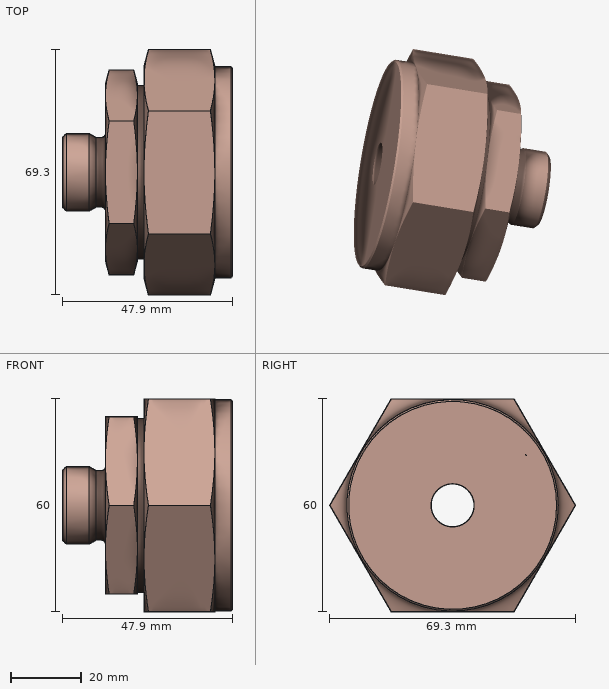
import cadquery as cq
import math

total_length = 47.9
spigot_taper_start = 7.4
spigot_taper_end = 9.4
small_hex_start = 12.05
small_hex_end = 21.05
large_hex_start = 22.9
large_hex_end = 42.9

large_hex_corners = 69.3
small_hex_flats = 50.0
hex_chamfer_angle = 15.0
corner_clearance = 0.7

spigot_radius = 10.95
spigot_chamfer = 1.05
neck_radius = 9.85
neck_fillet = 1.1
spacer_radius = 24.5
collar_radius = 29.8
collar_chamfer = 0.5

bore_radius = 6.0
socket_radius = 7.5
socket_depth = 7.0
mouth_radius = 8.6
mouth_cone_half_angle = 12.0


def revolve_about_axis(profile):
    """Revolve an (axial, radial) outline about the X axis."""
    return profile.close().revolve(360, (0, 0, 0), (1, 0, 0))


def cylinder_along_axis(radius, start, end):
    return cq.Workplane("YZ").workplane(offset=start).circle(radius).extrude(end - start)


def chamfered_hexagon(across_flats, start, end):
    """Hexagon with flats at top and bottom, its corners cut back by a cone at each end."""
    across_corners = across_flats / math.cos(math.radians(30))
    hexagon = (
        cq.Workplane("YZ")
        .workplane(offset=start)
        .polygon(6, across_corners)
        .extrude(end - start)
    )
    face_radius = across_flats / 2
    cone_radius = across_corners / 2 + corner_clearance
    cone_depth = (cone_radius - face_radius) * math.tan(math.radians(hex_chamfer_angle))
    envelope = revolve_about_axis(
        cq.Workplane("XY")
        .moveTo(start, 0)
        .lineTo(start, face_radius)
        .lineTo(start + cone_depth, cone_radius)
        .lineTo(end - cone_depth, cone_radius)
        .lineTo(end, face_radius)
        .lineTo(end, 0)
    )
    return hexagon.intersect(envelope)


def spigot():
    """Chamfered spigot tapering to a neck that flares into the small hexagon."""
    fillet_start = small_hex_start - neck_fillet
    return revolve_about_axis(
        cq.Workplane("XY")
        .moveTo(0, 0)
        .lineTo(0, spigot_radius - spigot_chamfer)
        .lineTo(spigot_chamfer, spigot_radius)
        .lineTo(spigot_taper_start, spigot_radius)
        .lineTo(spigot_taper_end, neck_radius)
        .lineTo(fillet_start, neck_radius)
        .radiusArc((small_hex_start, neck_radius + neck_fillet), -neck_fillet)
        .lineTo(small_hex_start, 0)
    )


def collar():
    round_collar = cylinder_along_axis(collar_radius, large_hex_end, total_length)
    return round_collar.faces(">X").edges().chamfer(collar_chamfer)


def bore():
    cone_depth = (mouth_radius - socket_radius) / math.tan(math.radians(mouth_cone_half_angle))
    return revolve_about_axis(
        cq.Workplane("XY")
        .moveTo(0, 0)
        .lineTo(0, mouth_radius)
        .lineTo(cone_depth, socket_radius)
        .lineTo(socket_depth, socket_radius)
        .lineTo(socket_depth, bore_radius)
        .lineTo(total_length, bore_radius)
        .lineTo(total_length, 0)
    )


large_hex_flats = large_hex_corners * math.cos(math.radians(30))

result = (
    spigot()
    .union(chamfered_hexagon(small_hex_flats, small_hex_start, small_hex_end))
    .union(cylinder_along_axis(spacer_radius, small_hex_end, large_hex_start))
    .union(chamfered_hexagon(large_hex_flats, large_hex_start, large_hex_end))
    .union(collar())
    .cut(bore())
)